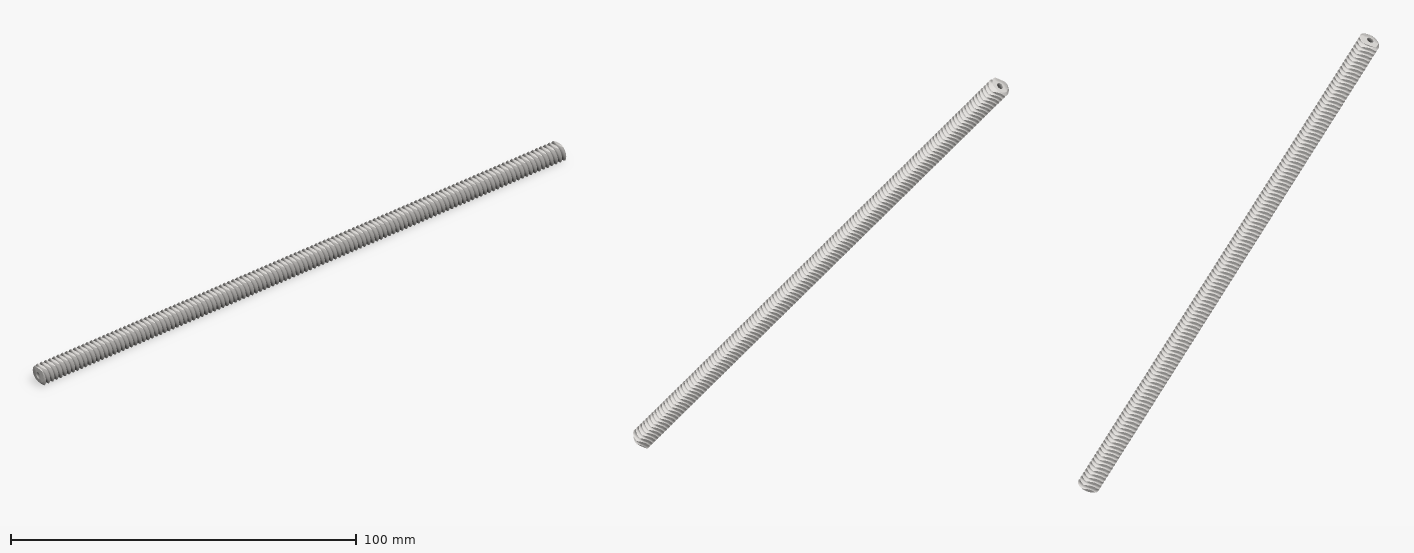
import cadquery as cq
import math

length = 188.12
major_diameter = 6.6
width_over_flats = 5.0
bore_diameter = 2.0

pitch = 1.5
thread_angle = 60.0
lead_in_turns = 2

major_radius = major_diameter / 2
bore_radius = bore_diameter / 2
half_pitch = pitch / 2
thread_depth = half_pitch / math.tan(math.radians(thread_angle / 2))
root_radius = major_radius - thread_depth

origin = cq.Vector(0, 0, 0)
x_axis = cq.Vector(1, 0, 0)
y_axis = cq.Vector(0, 1, 0)


def half_turn():
    """Half a turn of the rod: its radial section, bore to crest, carried round from +Z to -Z."""
    section = [
        (bore_radius, 0),
        (root_radius, 0),
        (major_radius, half_pitch),
        (root_radius, pitch),
        (bore_radius, pitch),
    ]
    helices = [
        cq.Wire.makeHelix(pitch, half_pitch, radius).translate(cq.Vector(0, 0, height))
        for radius, height in section
    ]
    sides = [cq.Face.makeRuledSurface(helices[i - 1], helices[i]) for i in range(len(section))]
    first_section = cq.Wire.makePolygon(
        [cq.Vector(radius, 0, height) for radius, height in section], close=True
    )
    last_section = cq.Wire.makePolygon(
        [cq.Vector(-radius, 0, height + half_pitch) for radius, height in section], close=True
    )
    ends = [cq.Face.makeFromWires(first_section), cq.Face.makeFromWires(last_section)]
    piece = cq.Solid.makeSolid(cq.Shell.makeShell(sides + ends))
    return piece.rotate(origin, x_axis, -90).rotate(origin, y_axis, -90)


def flatted_bar(bar_length):
    """Bar that holds only the material between the two flats, centred on the origin."""
    corner = cq.Vector(-major_diameter, -bar_length / 2, -width_over_flats / 2)
    return cq.Solid.makeBox(2 * major_diameter, bar_length, width_over_flats, corner)


def rod_pieces():
    """Half turns in a row along Y, those at the two ends cut square."""
    piece_reach = pitch + half_pitch
    first_start = -length / 2 - half_pitch - lead_in_turns * pitch
    piece_count = math.ceil((length / 2 - first_start) / half_pitch)
    envelope = flatted_bar(length)
    even_piece = half_turn().intersect(flatted_bar(2 * piece_reach))
    odd_piece = even_piece.rotate(origin, y_axis, 180)
    pieces = []
    for i in range(piece_count):
        start = first_start + i * half_pitch
        piece = (even_piece, odd_piece)[i % 2].translate(cq.Vector(0, start, 0))
        if start < -length / 2 or start + piece_reach > length / 2:
            piece = piece.intersect(envelope)
        pieces += piece.Solids()
    return pieces


def join(pieces):
    """One solid from touching pieces: a face that two pieces share lies inside and is left out."""
    place_digits = 3
    faces_at = {}
    for piece in pieces:
        for face in piece.Faces():
            place = tuple(round(c, place_digits) + 0.0 for c in face.Center().toTuple())
            faces_at.setdefault(place, []).append(face)
    skin = [faces[0] for faces in faces_at.values() if len(faces) == 1]
    return cq.Solid.makeSolid(cq.Shell.makeShell(skin))


result = cq.Workplane(obj=join(rod_pieces()))